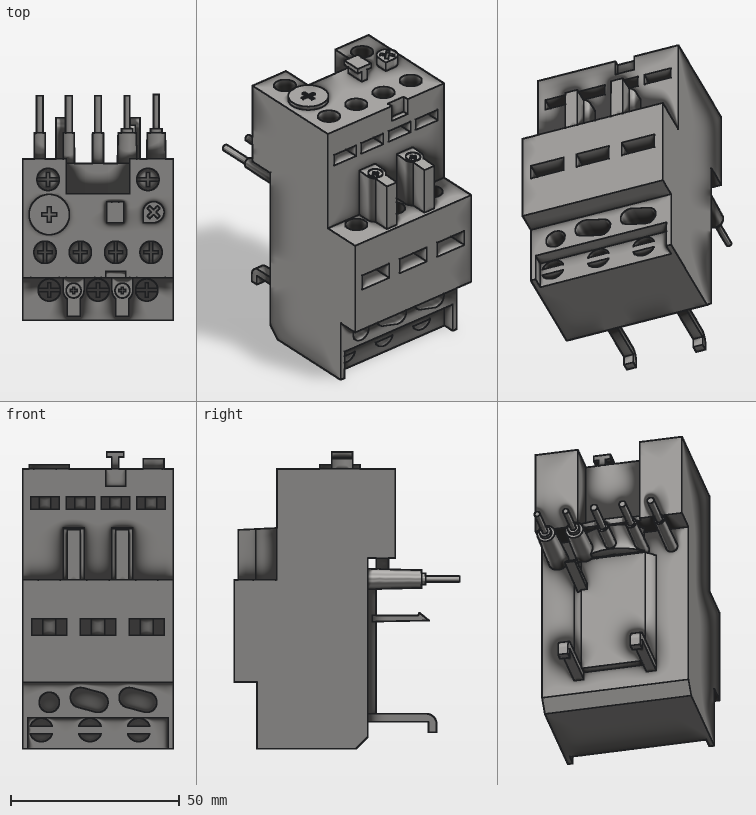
import cadquery as cq
import math


width = 44.6
half_width = width / 2
top_z = 83.0
upper_front_y = 12.7
upper_back_y = 47.8
rear_y = 39.6
overhang_z = 56.5
shelf_z = 50.1
lip_z = 19.8
lower_front_y = 6.8
base_chamfer = 3.5

notch_half_width = 9.4
notch_front_y = 37.5
notch_floor_back_y = 46.5
notch_floor_z = 58.5
roof_left_x = -3.9
roof_right_x = 2.9
roof_angle = math.radians(6.5)

well_diameter = 6.6
slot_width = 1.0
slot_short = 4.2
slot_depth = 0.7
top_head_z = 77.4
top_row_y = 20.15
top_row_pitch = 10.5
back_well_x = 14.8
back_well_y = 41.7
pole_pitch = 14.4
shelf_head_z = 44.0
shelf_row_y = 9.0
top_window = (8.45, 3.7)
top_window_z = 72.9
top_shaft_diameter = 3.4
shelf_window = (10.4, 4.9)
shelf_window_z = 36.2
shelf_shaft_diameter = 4.0

dial_diameter = 12.0
dial_x, dial_y = -14.4, 31.3
dial_height = 1.2
dial_cross = (4.6, 1.1)
button_x = 5.1
button_y = (28.9, 35.1)
button_cap_width = 5.1
button_stem_width = 2.1
button_cap_z = 86.4
button_top_z = 88.0
reset_diameter = 6.25
reset_x, reset_y = 16.5, 32.0
reset_top_z = 86.0
reset_cross = (4.3, 1.1)
top_notch_x = 5.3
top_notch_size = (6.0, 1.85, 5.2)

post_diameter = 6.2
post_nose_width = 3.8
post_y = 8.8
post_nose_y = 1.2
post_back_z = 65.5
post_slope = 2.8
post_screw_diameter = 4.4
post_screw_depth = 0.2
post_cross = (2.0, 0.6)

port_diameter = 6.0
port_depth = 7.0
port_z = 13.8
port_run = 5.2
port_rise = 1.4
recess_half_width = 20.8
recess_z = 9.2
recess_depth = 3.9
bore_diameter = 6.95
bore_x = -2.4
bore_z = 5.6
bore_bar = 2.2
bore_depth = 4.4

plate_y = 42.1
plate_half_width = 12.5
plate_flank = 2.8
plate_z = (10.5, 48.05)
guard_back_y = 45.8
guard_bottom_z = 48.4
clip_x = (7.9, 11.0)
clip_z = (37.7, 39.6)
clip_tip_y = 57.8
clip_tip_z = 38.0
clip_barb_y = 54.8
clip_barb_z = 40.4
clip_barb_slant = 0.35
hook_outer_x = 12.5
hook_width = 3.0
hook_back_y = 60.0
hook_thickness = 2.5
hook_tip_z = 4.9
hook_radius = 3.2

pin_z = 50.3
pin_pitch = 8.6
sleeve_end_y = 55.5
collar_end_y = 56.8
sleeve_tip = 3.3
sleeve_base = 3.5
collar_diameter = 3.4
large_sleeve_tip = 5.4
large_sleeve_base = 6.2
pin_diameter = 2.0
thin_pin_diameter = 1.7
pin_end_y = 66.5
last_pin_end_y = 66.9


def block(x, y, z):
    """Box spanning the given (low, high) ranges."""
    return cq.Workplane("XY").box(
        x[1] - x[0], y[1] - y[0], z[1] - z[0], centered=False
    ).translate((x[0], y[0], z[0]))


def upright(diameter, x, y, z):
    """Vertical cylinder between the two heights in z."""
    return cq.Workplane("XY", origin=(x, y, z[0])).circle(diameter / 2).extrude(z[1] - z[0])


def rearward(diameter, x, z, y):
    """Cylinder along Y between the two positions in y."""
    return cq.Workplane("XZ", origin=(x, y[0], z)).circle(diameter / 2).extrude(y[0] - y[1])


def side_prism(points, x):
    """Prism with a (Y, Z) outline spanning the range x."""
    return cq.Workplane("YZ", origin=(x[0], 0, 0)).polyline(points).close().extrude(x[1] - x[0])


def cross(x, y, z, x_bar, y_bar, depth):
    """Driver cross sunk below z; each bar is (length, width)."""
    plane = cq.Workplane("XY", origin=(x, y, z - depth))
    return plane.rect(*x_bar).extrude(depth).union(plane.rect(y_bar[1], y_bar[0]).extrude(depth))


def even_cross(x, y, z, bar, depth):
    """Driver cross with two equal bars."""
    return cross(x, y, z, bar, bar, depth)


def housing():
    outline = [
        (lower_front_y, 0),
        (rear_y - base_chamfer, 0),
        (rear_y, base_chamfer),
        (rear_y, overhang_z),
        (upper_back_y, overhang_z),
        (upper_back_y, top_z),
        (upper_front_y, top_z),
        (upper_front_y, shelf_z),
        (0, shelf_z),
        (0, lip_z),
        (lower_front_y, lip_z),
    ]
    return side_prism(outline, (-half_width, half_width))


def notch_floor():
    """Shallow roof-shaped floor that closes the bottom of the rear notch."""
    left_drop = (notch_half_width + roof_left_x) * math.tan(roof_angle)
    right_drop = (notch_half_width - roof_right_x) * math.tan(roof_angle)
    outline = [
        (-notch_half_width, overhang_z),
        (notch_half_width, overhang_z),
        (notch_half_width, notch_floor_z - right_drop),
        (roof_right_x, notch_floor_z),
        (roof_left_x, notch_floor_z),
        (-notch_half_width, notch_floor_z - left_drop),
    ]
    depth = notch_floor_back_y - notch_front_y
    return cq.Workplane("XZ", origin=(0, notch_front_y, 0)).polyline(outline).close().extrude(-depth)


def screw_well(x, y, surface_z, head_z, long_along_x):
    """Round well whose floor is the screw head; one slot of the cross runs the full diameter."""
    short_bar = (slot_short, slot_width)
    long_bar = (well_diameter, slot_width)
    bars = (long_bar, short_bar) if long_along_x else (short_bar, long_bar)
    well = upright(well_diameter, x, y, (head_z, surface_z))
    slots = cross(x, y, head_z, *bars, slot_depth)
    return well.union(slots.intersect(upright(well_diameter, x, y, (head_z - slot_depth, head_z))))


def wire_window(x, z, size, front_y, screw_y, shaft_diameter):
    """Pocket in a front face with the terminal screw shaft standing inside it."""
    half_x, half_z = size[0] / 2, size[1] / 2
    heights = (z - half_z, z + half_z)
    pocket = block((x - half_x, x + half_x), (front_y, screw_y + well_diameter / 2), heights)
    return pocket.cut(upright(shaft_diameter, x, screw_y, heights))


def dial():
    """Flat setting dial with a driver cross."""
    disc = upright(dial_diameter, dial_x, dial_y, (top_z, top_z + dial_height))
    return disc.cut(even_cross(dial_x, dial_y, top_z + dial_height, dial_cross, slot_depth))


def button():
    """T-shaped push button."""
    half_cap, half_stem = button_cap_width / 2, button_stem_width / 2
    stem = block((button_x - half_stem, button_x + half_stem), button_y, (top_z, button_cap_z))
    cap = block((button_x - half_cap, button_x + half_cap), button_y, (button_cap_z, button_top_z))
    return stem.union(cap)


def reset_screw():
    """Round selector with one square corner as its pointer."""
    radius = reset_diameter / 2
    heights = (top_z, reset_top_z)
    knob = upright(reset_diameter, reset_x, reset_y, heights)
    knob = knob.union(block((reset_x - radius, reset_x), (reset_y - radius, reset_y), heights))
    slots = even_cross(0, 0, 0, reset_cross, slot_depth).rotate((0, 0, 0), (0, 0, 1), 45)
    return knob.cut(slots.translate((reset_x, reset_y, reset_top_z)))


def barrier_post(x):
    """Keyhole-shaped post with a sloping top and a screw in a shallow round recess."""
    radius, half_nose = post_diameter / 2, post_nose_width / 2
    heights = (shelf_z, post_back_z)
    post = upright(post_diameter, x, post_y, heights)
    post = post.union(block((x - radius, x + radius), (post_y, upper_front_y), heights))
    post = post.union(block((x - half_nose, x + half_nose), (post_nose_y, post_y), heights))

    recess_top = post_back_z - (upper_front_y - post_y) * math.tan(math.radians(post_slope))
    tools = block((-post_diameter, post_diameter), (-2 * post_y, 2 * post_y), (0, post_diameter))
    tools = tools.union(upright(post_screw_diameter, 0, 0, (-post_screw_depth, 0)))
    tools = tools.union(even_cross(0, 0, -post_screw_depth, post_cross, slot_depth))
    tools = tools.rotate((0, 0, 0), (1, 0, 0), post_slope)
    return post.cut(tools.translate((x, post_y, recess_top)))


def slanted_port(x):
    """Round-ended slot in the lower front face, sloping down to its right end at x."""
    length = math.hypot(port_run, port_rise) + port_diameter
    slope = math.degrees(math.atan2(port_rise, port_run))
    centre = (x - port_run / 2, lower_front_y, port_z + port_rise / 2)
    return cq.Workplane("XZ", origin=centre).slot2D(length, port_diameter, -slope).extrude(-port_depth)


def barred_bore(x):
    """Round bore in the recess wall with a flush bar across its middle."""
    depths = (lower_front_y + recess_depth, lower_front_y + recess_depth + bore_depth)
    half_bar = bore_bar / 2
    bar = block((x - bore_diameter, x + bore_diameter), depths, (bore_z - half_bar, bore_z + half_bar))
    return rearward(bore_diameter, x, bore_z, depths).cut(bar)


def rear_plate():
    inner = plate_half_width - plate_flank
    outline = [(-plate_half_width, rear_y), (plate_half_width, rear_y), (inner, plate_y), (-inner, plate_y)]
    height = plate_z[1] - plate_z[0]
    return cq.Workplane("XY", origin=(0, 0, plate_z[0])).polyline(outline).close().extrude(height)


def pin_guard():
    """Curved guard hanging from the overhang around the middle pins."""
    return (
        cq.Workplane("XY", origin=(0, 0, guard_bottom_z))
        .moveTo(-notch_half_width, plate_y)
        .threePointArc((0, guard_back_y), (notch_half_width, plate_y))
        .close()
        .extrude(overhang_z - guard_bottom_z)
    )


def clip():
    outline = [
        (rear_y, clip_z[0]),
        (clip_tip_y, clip_tip_z),
        (clip_barb_y, clip_barb_z),
        (clip_barb_y - clip_barb_slant, clip_z[1]),
        (rear_y, clip_z[1]),
    ]
    return side_prism(outline, clip_x)


def hook(x):
    """Arm with a rounded elbow and a downward leg, spanning the range x."""
    top = plate_z[0]
    outline = [
        (rear_y, top),
        (hook_back_y, top),
        (hook_back_y, hook_tip_z),
        (hook_back_y - hook_thickness, hook_tip_z),
        (hook_back_y - hook_thickness, top - hook_thickness),
        (rear_y, top - hook_thickness),
    ]
    return side_prism(outline, x).edges("|X and >Y and >Z").fillet(hook_radius)


def sleeve(x, base_diameter, tip_diameter):
    """Tapered insulating sleeve around a pin, widest at the housing."""
    return (
        cq.Workplane("XZ", origin=(x, rear_y, pin_z))
        .circle(base_diameter / 2)
        .workplane(offset=rear_y - sleeve_end_y)
        .circle(tip_diameter / 2)
        .loft()
    )


def plain_pin(x):
    pin = rearward(pin_diameter, x, pin_z, (rear_y, pin_end_y))
    return sleeve(x, sleeve_base, sleeve_tip).union(pin)


def collared_pin(x, end_y):
    """Thin pin in a large sleeve with a collar at its end."""
    collar = rearward(collar_diameter, x, pin_z, (rear_y, collar_end_y))
    pin = rearward(thin_pin_diameter, x, pin_z, (rear_y, end_y))
    return sleeve(x, large_sleeve_base, large_sleeve_tip).union(collar).union(pin)


result = housing()
result = result.cut(
    block((-notch_half_width, notch_half_width), (notch_front_y, upper_back_y), (overhang_z, top_z))
)
for part in (notch_floor(), rear_plate(), pin_guard(), clip(), dial(), button(), reset_screw()):
    result = result.union(part)
for hook_range in ((-hook_outer_x, hook_width - hook_outer_x), (hook_outer_x - hook_width, hook_outer_x)):
    result = result.union(hook(hook_range))
for step in (-2, -1, 0):
    result = result.union(plain_pin(step * pin_pitch))
result = result.union(collared_pin(pin_pitch, pin_end_y))
result = result.union(collared_pin(2 * pin_pitch, last_pin_end_y))
for side in (-1, 1):
    result = result.union(barrier_post(side * pole_pitch / 2))

for side in (-1, 1):
    result = result.cut(screw_well(side * back_well_x, back_well_y, top_z, top_head_z, True))
for step in (-1.5, -0.5, 0.5, 1.5):
    terminal_x = step * top_row_pitch
    result = result.cut(screw_well(terminal_x, top_row_y, top_z, top_head_z, False))
    result = result.cut(
        wire_window(terminal_x, top_window_z, top_window, upper_front_y, top_row_y, top_shaft_diameter)
    )
notch_x, notch_y, notch_z = top_notch_size
result = result.cut(
    block(
        (top_notch_x - notch_x / 2, top_notch_x + notch_x / 2),
        (upper_front_y, upper_front_y + notch_y),
        (top_z - notch_z, top_z),
    )
)

result = result.cut(
    block(
        (-recess_half_width, recess_half_width),
        (lower_front_y, lower_front_y + recess_depth),
        (0, recess_z),
    )
)
result = result.cut(
    rearward(port_diameter, -pole_pitch, port_z, (lower_front_y, lower_front_y + port_depth))
)
for pole in (-1, 0, 1):
    pole_x = pole * pole_pitch
    result = result.cut(screw_well(pole_x, shelf_row_y, shelf_z, shelf_head_z, True))
    result = result.cut(
        wire_window(pole_x, shelf_window_z, shelf_window, 0, shelf_row_y, shelf_shaft_diameter)
    )
    result = result.cut(barred_bore(bore_x + pole_x))
for pole in (0, 1):
    result = result.cut(slanted_port(pole * pole_pitch))